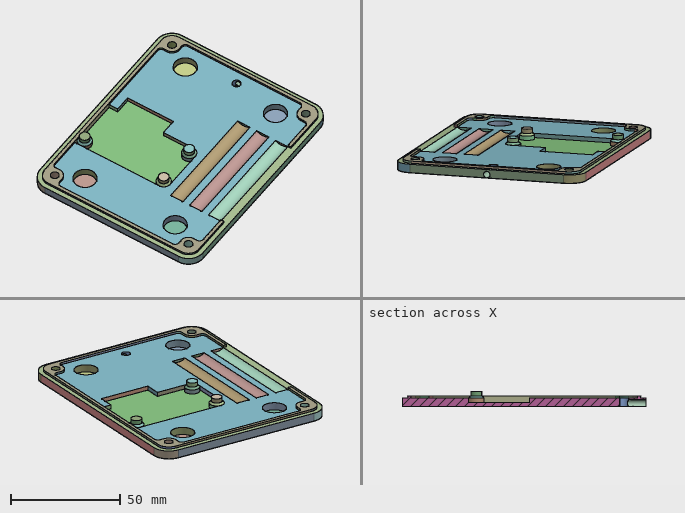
import cadquery as cq

length_x = 90.0
length_y = 111.4
base_height = 4.0
lip_height = 1.0
corner_radius = 8.0
lip_inset = 2.3
recess_inset = 4.0
recess_blend_radius = 2.0

hole_diameter = 4.0
back_hole_y = 45.8

passage_diameter = 3.0
passage_height = 1.7

seat_diameter = 11.0
seat_floor = 0.5
seat_x = 25.0
seat_y = 40.8

trough_width = 6.8
trough_radius = 5.2
trough_length = 54.5
trough_pitch = 10.5
trough_count = 3

pocket_floor = 2.0
pocket_right = 9.2
pocket_front = -25.4
pocket_back = 2.3
tab_left = -36.2
tab_right = -10.9
tab_back = 10.5
standoff_diameter = 7.0
standoff_radius = standoff_diameter / 2
pin_diameter = 5.0
standoff_chamfer = standoff_radius - pin_diameter / 2
standoff_top = base_height + lip_height
pin_top = 7.0
left_pin_x = -38.0

recess_x = length_x / 2 - recess_inset
recess_y = length_y / 2 - recess_inset
hole_x = length_x / 2 - corner_radius
hole_y = length_y / 2 - corner_radius


def rounded_block(size_x, size_y, radius, bottom, height):
    block = cq.Workplane("XY", origin=(0, 0, bottom)).rect(size_x, size_y).extrude(height)
    return block.edges("|Z").fillet(radius)


def corner_boss(sign_x, sign_y):
    """Square pad around a corner hole, rounded on its inner corner."""
    boss_radius = corner_radius - recess_inset
    pad = (
        cq.Workplane("XY", origin=(0, 0, base_height))
        .center(sign_x * hole_x, sign_y * hole_y)
        .rect(2 * boss_radius, 2 * boss_radius)
        .extrude(lip_height)
    )
    inner_x = "<X" if sign_x > 0 else ">X"
    inner_y = "<Y" if sign_y > 0 else ">Y"
    return pad.edges("|Z").edges(inner_x).edges(inner_y).fillet(boss_radius)


def floor_recess():
    """Open area inside the lip, going around the four corner bosses."""
    recess = (
        cq.Workplane("XY", origin=(0, 0, base_height))
        .rect(2 * recess_x, 2 * recess_y)
        .extrude(lip_height)
    )
    for sign_x in (-1, 1):
        for sign_y in (-1, 1):
            recess = recess.cut(corner_boss(sign_x, sign_y))
    blend_edges = recess.edges("|Z and (<X or >X or <Y or >Y)")
    return blend_edges.fillet(recess_blend_radius)


def troughs():
    """Cylindrical grooves; the outermost one ends at the recess wall."""
    last_x = recess_x - trough_width / 2
    axis_height = base_height + (trough_radius**2 - (trough_width / 2) ** 2) ** 0.5
    cutters = cq.Workplane("XY")
    for index in range(trough_count):
        cutter = (
            cq.Workplane("XZ", origin=(last_x - index * trough_pitch, 0, axis_height))
            .circle(trough_radius)
            .extrude(trough_length / 2, both=True)
        )
        cutters = cutters.add(cutter)
    cylinders = cutters.combine()
    floor_slab = cq.Workplane("XY").rect(length_x, length_y).extrude(base_height)
    return cylinders.intersect(floor_slab)


def lip_gap():
    """Break in the lip beside the outermost trough."""
    gap_width = length_x / 2 - recess_x
    return (
        cq.Workplane("XY", origin=(recess_x + gap_width / 2, 0, base_height))
        .rect(gap_width, trough_length)
        .extrude(lip_height)
    )


def board_pocket():
    outline = (
        cq.Workplane("XY", origin=(0, 0, pocket_floor))
        .moveTo(-recess_x, pocket_front)
        .lineTo(pocket_right - standoff_radius, pocket_front)
        .radiusArc((pocket_right, pocket_front + standoff_radius), -standoff_radius)
        .lineTo(pocket_right, pocket_back - standoff_radius)
        .radiusArc((pocket_right - standoff_radius, pocket_back), -standoff_radius)
        .lineTo(tab_right, pocket_back)
        .lineTo(tab_right, tab_back)
        .lineTo(tab_left, tab_back)
        .lineTo(tab_left, pocket_back)
        .lineTo(-recess_x, pocket_back)
        .close()
    )
    return outline.extrude(base_height - pocket_floor)


def stepped_pin(x, y):
    """Chamfered standoff carrying a thinner locating pin."""
    standoff = (
        cq.Workplane("XY", origin=(x, y, pocket_floor))
        .circle(standoff_radius)
        .extrude(standoff_top - pocket_floor)
        .faces(">Z")
        .chamfer(standoff_chamfer)
    )
    pin = (
        cq.Workplane("XY", origin=(x, y, pocket_floor))
        .circle(pin_diameter / 2)
        .extrude(pin_top - pocket_floor)
    )
    return standoff.union(pin)


plate = rounded_block(length_x, length_y, corner_radius, 0, base_height)
lip = rounded_block(
    length_x - 2 * lip_inset,
    length_y - 2 * lip_inset,
    corner_radius - lip_inset,
    base_height,
    lip_height,
)
result = plate.union(lip.cut(floor_recess()).cut(lip_gap()))
result = result.cut(troughs()).cut(board_pocket())

seat_points = [(sx * seat_x, sy * seat_y) for sx in (-1, 1) for sy in (-1, 1)]
seats = (
    cq.Workplane("XY", origin=(0, 0, seat_floor))
    .pushPoints(seat_points)
    .circle(seat_diameter / 2)
    .extrude(base_height - seat_floor)
)
result = result.cut(seats)

hole_points = [(sx * hole_x, sy * hole_y) for sx in (-1, 1) for sy in (-1, 1)]
hole_points.append((0, back_hole_y))
holes = (
    cq.Workplane("XY")
    .pushPoints(hole_points)
    .circle(hole_diameter / 2)
    .extrude(base_height + lip_height)
)
result = result.cut(holes)

passage = (
    cq.Workplane("XZ", origin=(0, length_y / 2, passage_height))
    .circle(passage_diameter / 2)
    .extrude(length_y / 2 - back_hole_y)
)
result = result.cut(passage)

right_pin_x = pocket_right - standoff_radius
front_pin_y = pocket_front + standoff_radius
back_pin_y = pocket_back - standoff_radius
pin_points = [
    (left_pin_x, front_pin_y),
    (right_pin_x, front_pin_y),
    (right_pin_x, back_pin_y),
]
for pin_x, pin_y in pin_points:
    result = result.union(stepped_pin(pin_x, pin_y))